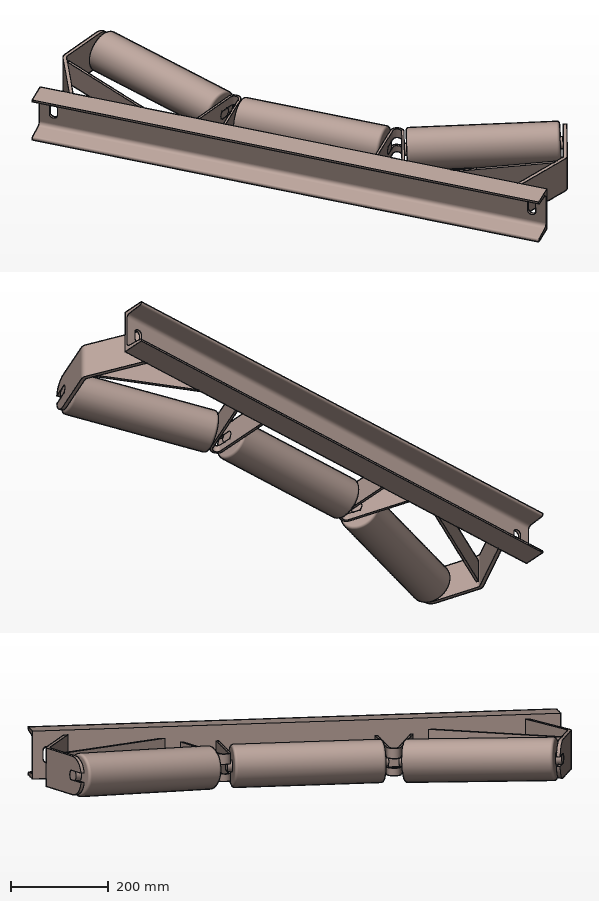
import cadquery as cq
import math

BEAM_LENGTH = 1100.0
BEAM_HEIGHT = 100.0
BEAM_DEPTH = 50.0
WEB_THICKNESS = 6.0
FLANGE_TIP_THICKNESS = 7.0
FLANGE_SLOPE = 0.08
ROOT_RADIUS = 9.0
TOE_RADIUS = 4.0

SLOT_WIDTH = 18.0
SLOT_HEIGHT = 34.0
SLOT_END_DISTANCE = 31.0

ROLLER_DIAMETER = 89.0
ROLLER_LENGTH = 315.0
ROLLER_EDGE_RADIUS = 5.0
SHAFT_DIAMETER = 25.0
SHAFT_FLAT_WIDTH = 20.0
SHOULDER_CLEARANCE = 1.0

TROUGH_ANGLE = 20.0
CENTRE_ROLLER_Y = 117.0
ROLLER_DROP = 14.0
SIDE_ROLLER_X = 350.0
SIDE_ROLLER_Y = 179.0

ROLLER_GAP = 5.0
OUTER_PLATE_HEIGHT = 80.0
OUTER_PLATE_THICKNESS = 8.0
OUTER_PLATE_TIP = 33.0
OUTER_PLATE_DROP = 111.0
OUTER_PLATE_TIP_RADIUS = 35.0
OUTER_PLATE_BEND_RADIUS = 18.0
OUTER_PLATE_BASE_X = 485.0
INNER_PLATE_HEIGHT = 57.0
INNER_PLATE_THICKNESS = 5.0
INNER_PLATE_BEND_RADIUS = 14.0
BRACE_THICKNESS = 5.0
BRACE_HEIGHT = 52.0
BRACE_DROP = 103.0
BRACE_BASE_X = 280.0

PLATE_DISTANCE = ROLLER_LENGTH / 2 + ROLLER_GAP
TROUGH = math.radians(TROUGH_ANGLE)
TILT = math.atan(ROLLER_DROP / (2 * PLATE_DISTANCE))

AXIS = cq.Vector(math.cos(TROUGH), math.sin(TROUGH))
PLATE_DIRECTION = cq.Vector(-math.sin(TROUGH), math.cos(TROUGH))
TILTED_AXIS = AXIS * math.cos(TILT) + cq.Vector(0, 0, math.sin(TILT))
SIDE_CENTRE = cq.Vector(SIDE_ROLLER_X, SIDE_ROLLER_Y)

CENTRE_PLANE = cq.Plane((0, CENTRE_ROLLER_Y, -ROLLER_DROP), (0, -1, 0), (1, 0, 0))
SIDE_PLANE = cq.Plane(
    SIDE_CENTRE - cq.Vector(0, 0, ROLLER_DROP / 2), -PLATE_DIRECTION, TILTED_AXIS
)


def mirrored(shape):
    return shape.mirror("YZ")


def side_point(along_axis, along_plate):
    """Point in the XY plane, measured from the middle of the right side roller."""
    return SIDE_CENTRE + AXIS * along_axis + PLATE_DIRECTION * along_plate


def foot(point, direction, level=-WEB_THICKNESS):
    """Where a line in the XY plane reaches a given Y level, by default inside the beam web."""
    return point + direction * ((level - point.y) / direction.y)


def extrude_plate(outline, height):
    return outline.close().extrude(height / 2, both=True)


def bent_strip(start, corner, end, thickness, height, radius):
    """Strip with one rounded bend; the three points give its outer side."""
    first = (corner - start).normalized()
    second = (end - corner).normalized()
    up = cq.Vector(0, 0, math.copysign(1, first.cross(second).z))
    inward_first = up.cross(first)
    inward_second = up.cross(second)
    inward_middle = (inward_first + inward_second).normalized()
    setback = radius * math.tan(first.getAngle(second) / 2)
    bend_centre = corner - first * setback + inward_first * radius
    inner_radius = radius - thickness
    outline = (
        cq.Workplane("XY")
        .moveTo(start.x, start.y)
        .lineTo(*(bend_centre - inward_first * radius).toTuple()[:2])
        .threePointArc(
            (bend_centre - inward_middle * radius).toTuple()[:2],
            (bend_centre - inward_second * radius).toTuple()[:2],
        )
        .lineTo(end.x, end.y)
        .lineTo(*(end + inward_second * thickness).toTuple()[:2])
        .lineTo(*(bend_centre - inward_second * inner_radius).toTuple()[:2])
        .threePointArc(
            (bend_centre - inward_middle * inner_radius).toTuple()[:2],
            (bend_centre - inward_first * inner_radius).toTuple()[:2],
        )
        .lineTo(*(start + inward_first * thickness).toTuple()[:2])
    )
    return extrude_plate(outline, height)


def edges_inside_flanges(y):
    """Selects the lengthwise inner edges of both flanges that lie at the given Y."""
    half_size = cq.Vector(BEAM_LENGTH, WEB_THICKNESS / 2, BEAM_HEIGHT / 2 - FLANGE_TIP_THICKNESS / 2)
    middle = cq.Vector(0, y, 0)
    box = cq.selectors.BoxSelector((middle - half_size).toTuple(), (middle + half_size).toTuple())
    return cq.selectors.AndSelector(cq.selectors.ParallelDirSelector(cq.Vector(1, 0, 0)), box)


def make_beam():
    half_height = BEAM_HEIGHT / 2
    tip_z = half_height - FLANGE_TIP_THICKNESS
    root_z = tip_z - FLANGE_SLOPE * (BEAM_DEPTH - WEB_THICKNESS)
    section = [
        (0, -half_height),
        (0, half_height),
        (-BEAM_DEPTH, half_height),
        (-BEAM_DEPTH, tip_z),
        (-WEB_THICKNESS, root_z),
        (-WEB_THICKNESS, -root_z),
        (-BEAM_DEPTH, -tip_z),
        (-BEAM_DEPTH, -half_height),
    ]
    beam = cq.Workplane("YZ").polyline(section).close().extrude(BEAM_LENGTH / 2, both=True)
    beam = beam.edges(edges_inside_flanges(-WEB_THICKNESS)).fillet(ROOT_RADIUS)
    beam = beam.edges(edges_inside_flanges(-BEAM_DEPTH)).fillet(TOE_RADIUS)
    slot_x = BEAM_LENGTH / 2 - SLOT_END_DISTANCE
    slots = (
        cq.Workplane("XZ")
        .pushPoints([(-slot_x, 0), (slot_x, 0)])
        .slot2D(SLOT_HEIGHT, SLOT_WIDTH, 90)
        .extrude(BEAM_DEPTH)
    )
    return beam.cut(slots)


def make_outer_plate():
    """Bent plate that holds the outer shaft end of the right side roller."""
    outer_face = PLATE_DISTANCE + OUTER_PLATE_THICKNESS
    tip = side_point(outer_face, OUTER_PLATE_TIP)
    corner = side_point(outer_face, -OUTER_PLATE_DROP)
    base = cq.Vector(OUTER_PLATE_BASE_X, 0)
    end = foot(base, base - corner)
    plate = bent_strip(
        tip, corner, end, OUTER_PLATE_THICKNESS, OUTER_PLATE_HEIGHT, OUTER_PLATE_BEND_RADIUS
    )
    tip_edges = cq.selectors.DirectionMinMaxSelector(PLATE_DIRECTION, True)
    return plate.faces(tip_edges).edges("not |Z").edges("<Z or >Z").fillet(OUTER_PLATE_TIP_RADIUS)


def make_brace():
    """Flat strip from the bend of the outer plate down to the beam."""
    top = side_point(PLATE_DISTANCE, -BRACE_DROP)
    base = cq.Vector(BRACE_BASE_X, 0)
    direction = (base - top).normalized()
    side = cq.Vector(0, 0, 1).cross(direction) * (BRACE_THICKNESS / 2)
    end = foot(base, direction, -2 * WEB_THICKNESS)
    corners = [top + side, end + side, end - side, top - side]
    brace = extrude_plate(cq.Workplane("XY").polyline([(c.x, c.y) for c in corners]), BRACE_HEIGHT)
    behind_web = cq.Workplane("XY").box(BEAM_LENGTH, BEAM_LENGTH, BEAM_HEIGHT).translate(
        (0, BEAM_LENGTH / 2 - WEB_THICKNESS / 2, 0)
    )
    return brace.intersect(behind_web)


def make_inner_plate():
    """Folded plate between the centre roller and the right side roller."""
    side_face = side_point(-PLATE_DISTANCE, 0)
    rise = (side_face.x - PLATE_DISTANCE) / math.sin(TROUGH)
    apex = side_point(-PLATE_DISTANCE, rise)
    centre_end = cq.Vector(PLATE_DISTANCE, -WEB_THICKNESS / 2)
    side_end = foot(side_face, PLATE_DIRECTION, -WEB_THICKNESS / 2)
    plate = bent_strip(
        centre_end, apex, side_end, INNER_PLATE_THICKNESS, INNER_PLATE_HEIGHT, INNER_PLATE_BEND_RADIUS
    )
    return plate.translate((0, 0, (INNER_PLATE_HEIGHT - OUTER_PLATE_HEIGHT) / 2))


def cylinder(plane, diameter, start, end):
    return cq.Workplane(plane).workplane(offset=start).circle(diameter / 2).extrude(end - start)


def make_roller(plane):
    half_length = ROLLER_LENGTH / 2
    roller = cylinder(plane, ROLLER_DIAMETER, -half_length, half_length).edges().fillet(ROLLER_EDGE_RADIUS)
    return roller.cut(cylinder(plane, SHAFT_DIAMETER, -half_length, half_length))


def make_shaft(plane, start, end):
    """Round shaft from start to end along its axis, with two flats where it sits in the plates."""
    shoulder = PLATE_DISTANCE - SHOULDER_CLEARANCE
    flats = cq.Workplane(plane).rect(SHAFT_DIAMETER, SHAFT_FLAT_WIDTH).extrude(end, both=True)
    flattened = cylinder(plane, SHAFT_DIAMETER, start, end).intersect(flats)
    return flattened.union(cylinder(plane, SHAFT_DIAMETER, -shoulder, shoulder))


def make_shaft_slot(plane):
    """Space for the flattened shaft ends, open towards the tips of the plates."""
    reach = PLATE_DISTANCE + INNER_PLATE_BEND_RADIUS
    flats = cq.Workplane(plane).rect(SHAFT_DIAMETER, SHAFT_FLAT_WIDTH).extrude(reach, both=True)
    seat = cylinder(plane, SHAFT_DIAMETER, -reach, reach).intersect(flats)
    opening = (
        cq.Workplane(plane)
        .center(-ROLLER_DIAMETER / 2, 0)
        .rect(ROLLER_DIAMETER, SHAFT_FLAT_WIDTH)
        .extrude(reach, both=True)
    )
    return seat.union(opening)


def make_frame():
    half = make_outer_plate().union(make_inner_plate()).union(make_brace())
    half = half.cut(make_shaft_slot(SIDE_PLANE)).cut(make_shaft_slot(CENTRE_PLANE))
    return make_beam().union(half).union(mirrored(half))


frame = make_frame()

centre_roller = make_roller(CENTRE_PLANE)
side_roller = make_roller(SIDE_PLANE)
rollers = [centre_roller, side_roller, mirrored(side_roller)]

inner_end = PLATE_DISTANCE + INNER_PLATE_THICKNESS
outer_end = PLATE_DISTANCE + OUTER_PLATE_THICKNESS
centre_shaft = make_shaft(CENTRE_PLANE, -inner_end, inner_end)
side_shaft = make_shaft(SIDE_PLANE, -inner_end, outer_end)
shafts = [centre_shaft, side_shaft, mirrored(side_shaft)]

result = cq.Compound.makeCompound([body.val() for body in [frame, *rollers, *shafts]])